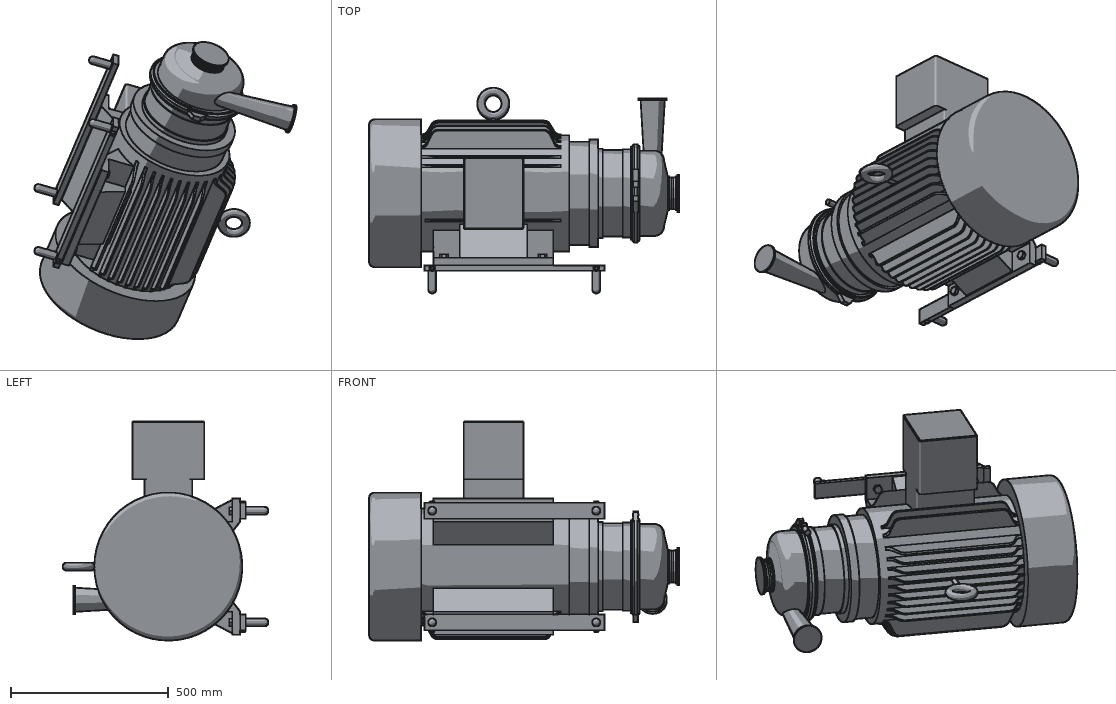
import cadquery as cq


cover_end, cover_radius, cover_rounding = 165.0, 235.0, 19.0
frame_end, frame_radius = 635.0, 185.0
adapter_end, adapter_radius = 699.0, 164.0
flange_end, flange_radius = 726.0, 171.0

collar_end, collar_radius = 741.0, 284.0 / 2
backplate_end, backplate_radius = 805.0, 138.0
rim_end, rim_radius = 830.0, 141.0
casing_end, casing_radius = 903.0, 136.0
dome_radius = 32.0
nose_end, nose_radius = 947.5, 54.0

suction_collar_end, suction_collar_diameter = 952.0, 108.0
suction_step_end, suction_step_diameter = 958.0, 102.0
suction_pipe_end, suction_pipe_diameter = 964.0, 101.0
suction_neck_end, suction_neck_diameter = 972.0, 102.0
suction_flare_end, suction_flare_diameter = 977.0, 108.0
suction_ferrule_end, suction_ferrule_diameter = 983.0, 119.0

outlet_x, outlet_z = 899.0, -105.0
outlet_root_diameter = 43.0
outlet_pipe_end, outlet_pipe_diameter = 289.0, 77.0
outlet_ferrule_start, outlet_ferrule_end, outlet_ferrule_diameter = 295.0, 301.0, 90.0

fin_root_thickness, fin_tip_thickness, fin_taper_start = 9.0, 4.0, 138.0
fin_rows_per_half, outer_fin_offset = 4, 115.0
fin_pitch = outer_fin_offset / fin_rows_per_half
fin_tip_radius, fin_base_radius = 231.0, 187.0
fin_start, fin_end = cover_end, 607.0
short_fin_start = 178.0
fin_toe_length, fin_toe_rise = 19.0, 8.0
fin_ramp_length = 16.0
fin_shoulder_length, fin_shoulder_drop = 20.0, 10.0

box_x, box_length, box_width = 395.0, 190.0, 228.0
box_bottom, box_top = 276.0, 460.0
box_neck_width = 152.0
box_edge_radius, box_top_chamfer = 7.0, 3.0

eye_x, eye_y = 394.0, 284.0
eye_ring_radius, eye_bar_diameter, eye_shank_diameter = 38.0, 26.0, 19.0

foot_start, foot_end = 204.0, 585.0
plate_inner_y, plate_outer_y = -203.0, -228.0
plate_top, foot_floor = 216.0, 143.0
web_foot_y, web_foot_z = -171.0, 69.0
rib_start, rib_end = 288.0, 501.0
rib_plate_z, rib_frame_y, rib_frame_z = 212.0, -98.0, 157.0
foot_bolt_x = (238.0, 550.0)
foot_bolt_size, foot_bolt_height = 28.0, 11.0

rail_start, rail_end, rail_thickness = 176.0, 747.0, 18.0
rail_z, rail_height = 177.0, 51.0
leg_x = (201.0, 720.0)
leg_diameter, leg_tip_y = 26.0, -317.0
stud_base_diameter, stud_top_diameter, stud_height = 19.0, 10.0, 5.0

clamp_end, clamp_radius = 859.0, 147.0
crown_start, crown_end, crown_radius, crown_chamfer = 834.0, 856.0, 156.0, 6.0
clamp_x = (crown_start + crown_end) / 2
clamp_bolt_diameter, clamp_bolt_z = 10.0, 164.0
clamp_sleeve_diameter, clamp_sleeve_end = 19.0, 77.0
clamp_block_start, clamp_block_end, clamp_reach = 19.0, 38.0, 176.0
clamp_lug_width, clamp_lug_top = 16.0, 173.0
clamp_lug_start, clamp_lug_flat_end, clamp_lug_toe = -8.0, -25.0, -62.0
hinge_flat_length, hinge_root_length = 24.0, 79.0
lug_root = 143.0


def box(x0, x1, y0, y1, z0, z1):
    """Axis-aligned block between the given limits."""
    size = (x1 - x0, y1 - y0, z1 - z0)
    center = ((x0 + x1) / 2, (y0 + y1) / 2, (z0 + z1) / 2)
    return cq.Workplane("XY").box(*size).translate(center)


def extrude_along_x(points, x0, x1):
    """Extrude a closed (Y, Z) outline from x0 to x1."""
    return cq.Workplane("YZ").workplane(offset=x0).polyline(points).close().extrude(x1 - x0)


def rod_along_y(x, z, diameter, y0, y1):
    """Round rod parallel to Y from y0 to y1."""
    return cq.Workplane("XZ", origin=(x, y1, z)).circle(diameter / 2).extrude(y1 - y0)


def arc_radius(run, rise):
    """Radius of an arc that starts tangent to its run and departs from it by the rise."""
    return (run ** 2 + rise ** 2) / (2 * rise)


def turn(profile):
    """Turn a closed (X, radius) profile about the shaft axis."""
    return profile.close().revolve(360, (0, 0, 0), (1, 0, 0))


def both_sides(body):
    """Add the mirror image below the shaft axis."""
    return body.union(body.mirror("XY"))


def turned_body():
    """Fan cover, frame, adapter, pump casing and suction nozzle in one profile."""
    profile = (
        cq.Workplane("XY")
        .lineTo(0, cover_radius - cover_rounding)
        .radiusArc((cover_rounding, cover_radius), cover_rounding)
    )
    steps = [
        (cover_end, cover_radius),
        (frame_end, frame_radius),
        (adapter_end, adapter_radius),
        (flange_end, flange_radius),
        (collar_end, collar_radius),
        (backplate_end, backplate_radius),
        (rim_end, rim_radius),
        (casing_end, casing_radius),
    ]
    for index, (end, radius) in enumerate(steps):
        if index > 0:
            profile = profile.lineTo(steps[index - 1][0], radius)
        profile = profile.lineTo(end, radius)
    profile = profile.radiusArc((casing_end + dome_radius, casing_radius - dome_radius), dome_radius)
    profile = profile.lineTo(nose_end, nose_radius)
    start = nose_end
    for end, diameter in [
        (suction_collar_end, suction_collar_diameter),
        (suction_step_end, suction_step_diameter),
        (suction_pipe_end, suction_pipe_diameter),
        (suction_neck_end, suction_neck_diameter),
        (suction_flare_end, suction_flare_diameter),
        (suction_ferrule_end, suction_ferrule_diameter),
    ]:
        if start > nose_end:
            profile = profile.lineTo(start, diameter / 2)
        profile = profile.lineTo(end, diameter / 2)
        start = end
    return turn(profile.lineTo(suction_ferrule_end, 0))


def clamp_band():
    """Clamp ring with a raised crown around the casing joint."""
    shoulder = turn(
        cq.Workplane("XY").moveTo(rim_end, 0).lineTo(rim_end, clamp_radius)
        .lineTo(clamp_end, clamp_radius).lineTo(clamp_end, 0)
    )
    crown = (
        cq.Workplane("YZ").workplane(offset=crown_start).circle(crown_radius)
        .extrude(crown_end - crown_start).edges().chamfer(crown_chamfer)
    )
    return shoulder.union(crown)


def clamp_closure():
    """Clamp bolt with its sleeve, block and lug on top, hinge block underneath."""
    x0, x1 = clamp_x - clamp_lug_width / 2, clamp_x + clamp_lug_width / 2
    bolt = rod_along_y(clamp_x, clamp_bolt_z, clamp_bolt_diameter, clamp_lug_start, clamp_block_start)
    sleeve = rod_along_y(clamp_x, clamp_bolt_z, clamp_sleeve_diameter, clamp_block_end, clamp_sleeve_end)
    block = box(x0, x1, clamp_block_start, clamp_block_end, lug_root, clamp_reach)
    lug = extrude_along_x(
        [(clamp_lug_start, lug_root), (clamp_lug_start, clamp_lug_top),
         (clamp_lug_flat_end, clamp_lug_top), (clamp_lug_toe, lug_root)],
        x0, x1,
    )
    flat, root = hinge_flat_length / 2, hinge_root_length / 2
    hinge = extrude_along_x(
        [(-root, -lug_root), (-flat, -clamp_reach), (flat, -clamp_reach), (root, -lug_root)],
        x0, x1,
    )
    return bolt.union(sleeve).union(block).union(lug).union(hinge)


def discharge_nozzle():
    """Tapered pipe pointing to +Y, tangential to the casing, with a ferrule."""
    profile = (
        cq.Workplane("XY").lineTo(outlet_root_diameter / 2, 0)
        .lineTo(outlet_pipe_diameter / 2, outlet_pipe_end)
        .lineTo(outlet_pipe_diameter / 2, outlet_ferrule_start)
        .lineTo(outlet_ferrule_diameter / 2, outlet_ferrule_start)
        .lineTo(outlet_ferrule_diameter / 2, outlet_ferrule_end)
        .lineTo(0, outlet_ferrule_end).close()
    )
    return profile.revolve(360, (0, 0, 0), (0, 1, 0)).translate((outlet_x, 0, outlet_z))


def fin_envelope():
    """Turned body whose surface holds the tips and the S-shaped ends of all fins."""
    toe_radius = fin_base_radius + fin_toe_rise
    shoulder_radius = fin_tip_radius - fin_shoulder_drop
    ramp_start = fin_start + fin_toe_length
    ramp_end = ramp_start + fin_ramp_length
    flat_start = ramp_end + fin_shoulder_length
    mirror_sum = fin_start + fin_end
    toe_arc = arc_radius(fin_toe_length, fin_toe_rise)
    shoulder_arc = arc_radius(fin_shoulder_length, fin_shoulder_drop)
    return turn(
        cq.Workplane("XY").moveTo(fin_start, 0)
        .lineTo(fin_start, fin_base_radius)
        .radiusArc((ramp_start, toe_radius), -toe_arc)
        .lineTo(ramp_end, shoulder_radius)
        .radiusArc((flat_start, fin_tip_radius), shoulder_arc)
        .lineTo(mirror_sum - flat_start, fin_tip_radius)
        .radiusArc((mirror_sum - ramp_end, shoulder_radius), shoulder_arc)
        .lineTo(mirror_sum - ramp_start, toe_radius)
        .radiusArc((fin_end, fin_base_radius), -toe_arc)
        .lineTo(fin_end, 0)
    )


def fin_blank(row, angle, start=fin_start):
    """Untrimmed tapered fin pointing to +Y in the given row, then turned about X by the angle."""
    offset = row * fin_pitch
    root, tip = fin_root_thickness / 2, fin_tip_thickness / 2
    outline = [
        (0, offset - root), (fin_taper_start, offset - root), (fin_tip_radius, offset - tip),
        (fin_tip_radius, offset + tip), (fin_taper_start, offset + root), (0, offset + root),
    ]
    return extrude_along_x(outline, start, fin_end).rotate((0, 0, 0), (1, 0, 0), angle)


def fins():
    """Parallel fins on the +Y side, bottom and top, the top ones leaving room for the terminal box."""
    to_bottom, to_top = -90, 90
    inner_top_row = fin_rows_per_half - 1
    blanks = fin_blank(inner_top_row, to_top, short_fin_start)
    for row in range(-fin_rows_per_half, fin_rows_per_half + 1):
        blanks = blanks.union(fin_blank(row, 0)).union(fin_blank(row, to_bottom))
    for row in (-fin_rows_per_half, -inner_top_row):
        blanks = blanks.union(fin_blank(row, to_top))
    return blanks.intersect(fin_envelope())


def terminal_box():
    """Rounded box on a narrower neck standing on the frame."""
    x0, x1 = box_x - box_length / 2, box_x + box_length / 2
    neck = box(x0, x1, -box_neck_width / 2, box_neck_width / 2, 0, box_bottom)
    neck = neck.edges("|Z").fillet(box_edge_radius)
    housing = box(x0, x1, -box_width / 2, box_width / 2, box_bottom, box_top)
    housing = housing.edges("|Z").fillet(box_edge_radius).faces(">Z").edges().chamfer(box_top_chamfer)
    return neck.union(housing)


def lifting_eye():
    """Ring in the XY plane with a shank into the frame."""
    ring = cq.Workplane(cq.Solid.makeTorus(
        eye_ring_radius, eye_bar_diameter / 2, cq.Vector(eye_x, eye_y, 0), cq.Vector(0, 0, 1)))
    shank = rod_along_y(eye_x, 0, eye_shank_diameter, 0, eye_y - eye_ring_radius)
    return ring.union(shank)


def foot():
    """Upper foot: mounting plate, floor with sloping underside, middle rib and bolt heads."""
    body = extrude_along_x(
        [(plate_outer_y, plate_top), (plate_inner_y, plate_top), (plate_inner_y, foot_floor),
         (rib_frame_y, foot_floor), (rib_frame_y, web_foot_z), (web_foot_y, web_foot_z),
         (plate_outer_y, foot_floor)],
        foot_start, foot_end,
    )
    rib = extrude_along_x(
        [(plate_inner_y, foot_floor), (plate_inner_y, rib_plate_z),
         (rib_frame_y, rib_frame_z), (rib_frame_y, foot_floor)],
        rib_start, rib_end,
    )
    body = body.union(rib)
    for x in foot_bolt_x:
        head = (
            cq.Workplane("XZ", origin=(x, plate_inner_y, rail_z))
            .polygon(6, foot_bolt_size).extrude(-foot_bolt_height)
        )
        body = body.union(head)
    return body


def rail():
    """Upper rail with two round-ended legs and a stud over each leg."""
    rail_outer_y = plate_outer_y - rail_thickness
    half = rail_height / 2
    body = box(rail_start, rail_end, rail_outer_y, plate_outer_y, rail_z - half, rail_z + half)
    leg_radius = leg_diameter / 2
    leg_end = leg_tip_y + leg_radius
    for x in leg_x:
        leg = rod_along_y(x, rail_z, leg_diameter, leg_end, plate_outer_y)
        tip = cq.Workplane("XY").sphere(leg_radius).translate((x, leg_end, rail_z))
        stud = (
            cq.Workplane("XY", origin=(x, plate_outer_y - rail_thickness / 2, rail_z + half))
            .circle(stud_base_diameter / 2).workplane(offset=stud_height)
            .circle(stud_top_diameter / 2).loft()
        )
        body = body.union(leg).union(tip).union(stud)
    return body


result = turned_body()
for feature in (
    clamp_band(), clamp_closure(), discharge_nozzle(), fins(), terminal_box(),
    lifting_eye(), both_sides(foot()), both_sides(rail()),
):
    result = result.union(feature)